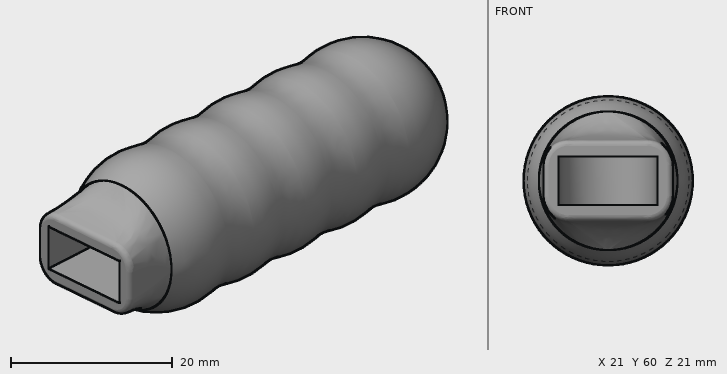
import cadquery as cq
import math

length = 60.0
ball_radius = 10.5
ball_count = 5
ball_pitch = 9.2
rear_ball_y = length - ball_radius
front_ball_y = rear_ball_y - (ball_count - 1) * ball_pitch

neck_length = 6.7
neck_root_radius = math.sqrt(ball_radius**2 - (front_ball_y - neck_length) ** 2)
root_flat = 0.25
waist_y = 3.3
waist_width, waist_height, waist_corner = 16.1, 11.65, 4.2
mouth_width, mouth_height, mouth_corner = 16.1, 9.85, 3.0
mouth_fillet = 0.7

socket_width = 12.25
socket_height = 6.0


def ball_surface(center_y, offset):
    """Profile point on a ball, at a signed distance along Y from its center."""
    return math.sqrt(ball_radius**2 - offset**2), center_y + offset


def make_grip():
    """Revolve the wavy outline; each groove arc mirrors and is tangent to the balls."""
    half_crest = ball_pitch / 4
    crest_edge_radius = ball_surface(0, half_crest)[0]
    groove_radius = 2 * crest_edge_radius - ball_radius
    profile = cq.Workplane("XY").moveTo(0, neck_length).lineTo(neck_root_radius, neck_length)
    for index in range(ball_count - 1):
        center_y = front_ball_y + index * ball_pitch
        groove_y = center_y + ball_pitch / 2
        profile = profile.threePointArc(
            (ball_radius, center_y), ball_surface(center_y, half_crest)
        )
        profile = profile.threePointArc(
            (groove_radius, groove_y), (crest_edge_radius, groove_y + half_crest)
        )
    profile = profile.threePointArc((ball_radius, rear_ball_y), (0, length)).close()
    return profile.revolve(360, (0, 0), (0, 1))


def rounded_section(y, width, height, corner):
    """Rounded rectangle across the Y axis."""
    sketch = cq.Sketch().rect(width, height).vertices().fillet(corner)
    wire = cq.Workplane("XZ", origin=(0, y, 0)).placeSketch(sketch).extrude(-0.6).faces("<Y").wires()
    return wire.val()


def make_neck():
    """Blend the round root into the rounded rectangular mouth."""
    root_width = 2 * neck_root_radius
    sections = [
        rounded_section(neck_length, root_width, root_width, neck_root_radius - root_flat / 2),
        rounded_section(waist_y, waist_width, waist_height, waist_corner),
        rounded_section(0, mouth_width, mouth_height, mouth_corner),
    ]
    return cq.Workplane(cq.Solid.makeLoft(sections)).faces("<Y").edges().fillet(mouth_fillet)


def make_socket():
    half_width = socket_width / 2
    return (
        cq.Workplane("XY", origin=(0, 0, -socket_height / 2))
        .moveTo(-half_width, 0)
        .lineTo(half_width, 0)
        .lineTo(half_width, rear_ball_y)
        .threePointArc((0, rear_ball_y + half_width), (-half_width, rear_ball_y))
        .close()
        .extrude(socket_height)
    )


result = make_grip().union(make_neck()).cut(make_socket())